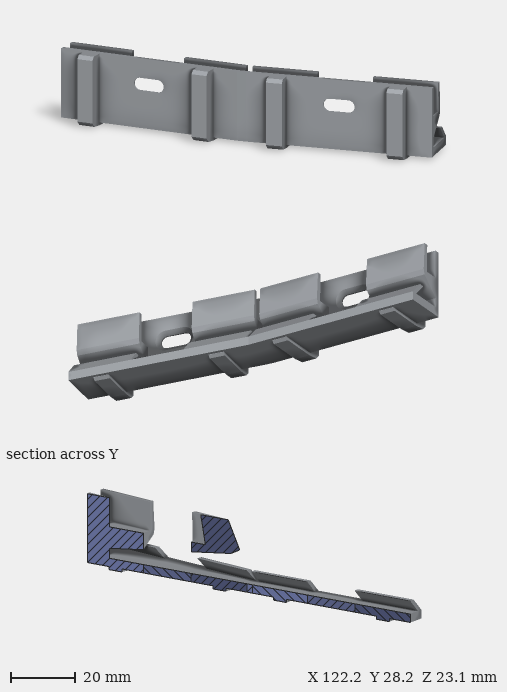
import cadquery as cq
import math


overall_length = 122.2
bend_angle = 8.0
depth = 14.9
height = 22.1
wall_thickness = 1.8
floor_thickness = 2.8

clip_length = 21.0
panel_length = 17.8
module_length = 2 * clip_length + panel_length

channel_floor_z = 12.8
channel_bottom_y = 6.8
channel_top_y = 6.6
jaw_top_y = 8.1
jaw_bulge_y = 8.7
jaw_bulge_z = 13.1
jaw_heel_y = 8.2
jaw_heel_z = 11.4
jaw_root_z = 5.9

lip_top_z = 7.0
lip_rise = lip_top_z - floor_thickness
lip_base_y = 13.1

rib_width = 5.1
rib_depth = 5.0
rib_chamfer = 1.1
rib_toe_run = 1.5
rib_toe_drop = 0.5
runner_drop = 1.0
runner_start_y = 0.4
runner_end_y = 13.7
runner_end_chamfer = 0.9

slot_length = 10.0
slot_width = 4.0
slot_z = 14.0
slot_land = 0.5
slot_flare_angle = 45

bend = math.radians(bend_angle)
left_reach = module_length * math.cos(bend) + depth * math.sin(bend)
joint_thickness = overall_length - left_reach - module_length


def extrude_along_x(points, start_x, length):
    """Extrude a (Y, Z) outline along +X."""
    return cq.Workplane("YZ", origin=(start_x, 0, 0)).polyline(points).close().extrude(length)


def make_rib(center_x):
    """Front rib with chamfered ends that continues as a runner under the floor."""
    side_outline = [
        (wall_thickness / 2, height),
        (-rib_depth + rib_chamfer, height),
        (-rib_depth, height - rib_chamfer),
        (-rib_depth, rib_toe_run - rib_toe_drop),
        (-rib_depth + rib_toe_run, -rib_toe_drop),
        (runner_start_y, -runner_drop),
        (runner_end_y - runner_end_chamfer, -runner_drop),
        (runner_end_y, runner_end_chamfer - runner_drop),
        (runner_end_y, floor_thickness / 2),
        (wall_thickness / 2, floor_thickness / 2),
    ]
    return extrude_along_x(side_outline, center_x - rib_width / 2, rib_width)


def make_clip(start_x):
    """Clip with an upward channel, a slanted back lip and a front rib."""
    section = [
        (0, 0),
        (depth, 0),
        (depth, floor_thickness),
        (depth - lip_rise, lip_top_z),
        (lip_base_y - lip_rise, lip_top_z),
        (lip_base_y, floor_thickness),
        (wall_thickness, floor_thickness),
        (wall_thickness, jaw_root_z),
        (jaw_heel_y, jaw_heel_z),
        (jaw_bulge_y, jaw_bulge_z),
        (jaw_top_y, height),
        (channel_top_y, height),
        (channel_bottom_y, channel_floor_z),
        (wall_thickness, channel_floor_z),
        (wall_thickness, height),
        (0, height),
    ]
    body = extrude_along_x(section, start_x, clip_length)
    return body.union(make_rib(start_x + clip_length / 2))


def make_panel(start_x):
    """L-shaped panel with a slot through its wall that widens towards the back."""
    section = [
        (0, 0),
        (depth, 0),
        (depth, floor_thickness),
        (wall_thickness, floor_thickness),
        (wall_thickness, height),
        (0, height),
    ]
    slot_profile = cq.Workplane(
        cq.Plane(origin=(start_x + panel_length / 2, 0, slot_z), xDir=(1, 0, 0), normal=(0, 1, 0))
    ).slot2D(slot_length, slot_width)
    land = slot_profile.extrude(slot_land)
    flare = (
        land.faces(">Y")
        .wires()
        .toPending()
        .workplane()
        .extrude(wall_thickness - slot_land, taper=-slot_flare_angle, combine=False)
    )
    panel = extrude_along_x(section, start_x, panel_length)
    return panel.cut(land).cut(flare)


def make_joint_wedge():
    """L-shaped wedge between the modules that opens towards the front by the bend angle."""

    def left_side(y):
        reach = depth - y
        return (-reach * math.sin(bend), depth - reach * math.cos(bend))

    floor_plan = [left_side(0), (joint_thickness, 0), (joint_thickness, depth), left_side(depth)]
    wall_plan = [
        left_side(0),
        (joint_thickness, 0),
        (joint_thickness, wall_thickness),
        left_side(wall_thickness),
    ]
    floor = cq.Workplane("XY").polyline(floor_plan).close().extrude(floor_thickness)
    wall = cq.Workplane("XY").polyline(wall_plan).close().extrude(height)
    return floor.union(wall)


def make_module(start_x):
    """The three bodies of a module, from left to right."""
    panel_x = start_x + clip_length
    return [
        make_clip(start_x),
        make_panel(panel_x),
        make_clip(panel_x + panel_length),
    ]


left_module = [
    body.rotate((0, depth, 0), (0, depth, 1), -bend_angle) for body in make_module(-module_length)
]
right_module = make_module(joint_thickness)
joint_wedge = make_joint_wedge()

bodies = left_module + right_module + [joint_wedge]
result = cq.Compound.makeCompound([body.val() for body in bodies])